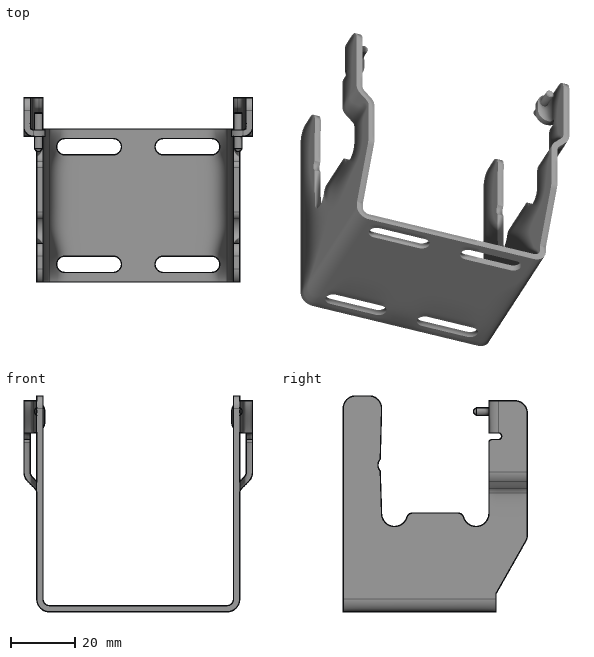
import cadquery as cq
import math

thickness = 2.0
bend_inner = 2.0
bend_outer = bend_inner + thickness

total_width = 71.0
total_depth = 57.2
finger_top = 67.1
arm_top = 65.6
base_depth = 47.5

arm_offset = 4.0
wall_outer = total_width / 2 - arm_offset
wall_inner = wall_outer - thickness
arm_outer = total_width / 2
arm_inner = arm_outer - thickness
finger_width = 12.0
arm_front = total_depth - finger_width
corner_radius = 4.0

cradle_height = 30.75
well_radius = 4.0
well_center_height = 30.5
cradle_lip_radius = 2.0

finger_relief = 0.4
notch_height = 45.6
notch_half_length = 1.85
notch_depth = 0.7

slope_bottom = 5.7
slope_top = 22.85

joggle_start = 36.85
joggle_inner = 2.1
joggle_outer = joggle_inner + thickness
joggle_angle = math.radians(45)

tab_height = 10.1
tab_bottom = arm_top - tab_height
tab_bend_inner = 1.0
tab_bend_outer = tab_bend_inner + thickness
tab_end = 29.0
tab_bend_line = arm_front + tab_bend_outer
tab_bend_x = arm_outer - tab_bend_outer
tab_corner_radius = 3.5
relief_radius = 1.0

pin_diameter = 2.5
pin_x = 31.0
pin_height = 62.2
pin_front = 40.5
pin_rear = 52.55
pin_tip_length = 0.9
pin_tip_diameter = 0.9
pin_rear_chamfer = 0.3

slot_length = 20.0
slot_width = 5.0
slot_spacing_x = 30.5
slot_spacing_y = 36.5


def arc_end(center, radius, angle):
    """Point at the given angle on a circle."""
    return (center[0] + radius * math.cos(angle), center[1] + radius * math.sin(angle))


def channel():
    """Full-height U section over the cradle depth."""
    outer = cq.Workplane("XY").box(2 * wall_outer, arm_front, finger_top, centered=(True, False, False))
    outer = outer.edges("|Y and <Z").fillet(bend_outer)
    inner = cq.Workplane("XY").box(2 * wall_inner, arm_front, finger_top, centered=(True, False, False))
    inner = inner.edges("|Y and <Z").fillet(bend_inner)
    return outer.cut(inner.translate((0, 0, thickness)))


def rear_half_section():
    """Right half of the rear section: base, bend, wall and joggled arm."""
    lower_center = (wall_outer + joggle_inner, joggle_start)
    arcs_run = (joggle_inner + joggle_outer) * (1 - math.cos(joggle_angle))
    arcs_rise = (joggle_inner + joggle_outer) * math.sin(joggle_angle)
    slope_rise = (arm_offset - arcs_run) / math.tan(joggle_angle)
    upper_center = (arm_outer - joggle_outer, joggle_start + arcs_rise + slope_rise)

    def lower(radius, fraction):
        return arc_end(lower_center, radius, math.pi - fraction * joggle_angle)

    def upper(radius, fraction):
        return arc_end(upper_center, radius, -fraction * joggle_angle)

    flat_edge = wall_outer - bend_outer
    bend_center = (flat_edge, bend_outer)
    bend_middle = -math.pi / 4
    return (
        cq.Workplane("XZ")
        .moveTo(0, 0)
        .lineTo(flat_edge, 0)
        .threePointArc(arc_end(bend_center, bend_outer, bend_middle), (wall_outer, bend_outer))
        .lineTo(wall_outer, joggle_start)
        .threePointArc(lower(joggle_inner, 0.5), lower(joggle_inner, 1))
        .lineTo(*upper(joggle_outer, 1))
        .threePointArc(upper(joggle_outer, 0.5), upper(joggle_outer, 0))
        .lineTo(arm_outer, arm_top)
        .lineTo(arm_inner, arm_top)
        .lineTo(*upper(joggle_inner, 0))
        .threePointArc(upper(joggle_inner, 0.5), upper(joggle_inner, 1))
        .lineTo(*lower(joggle_outer, 1))
        .threePointArc(lower(joggle_outer, 0.5), lower(joggle_outer, 0))
        .lineTo(wall_inner, bend_outer)
        .threePointArc(arc_end(bend_center, bend_inner, bend_middle), (flat_edge, thickness))
        .lineTo(0, thickness)
        .close()
        .extrude(-finger_width)
        .translate((0, arm_front, 0))
    )


def round_corner(body, y, z, radius):
    """Round the edge of the side profile at the given Y and Z."""
    edge = cq.selectors.NearestToPointSelector((0, y, z))
    return body.edges("|X").edges(edge).fillet(radius)


def side_profile():
    """Side outline of both walls, as a block across the whole width."""
    well_bottom = well_center_height - well_radius
    lip_reach = math.sqrt(well_radius**2 - (cradle_height - well_center_height) ** 2)
    front_lip = finger_width + well_radius + lip_reach
    rear_lip = arm_front - well_radius - lip_reach
    relieved_edge = finger_width - finger_relief
    relief_bottom = tab_bottom - 2 * relief_radius
    profile = (
        cq.Workplane("YZ")
        .moveTo(0, 0)
        .lineTo(base_depth, 0)
        .lineTo(base_depth, slope_bottom)
        .lineTo(total_depth, slope_top)
        .lineTo(total_depth, arm_top)
        .lineTo(tab_bend_line, arm_top)
        .lineTo(tab_bend_line, tab_bottom)
        .threePointArc(
            (tab_bend_line + relief_radius, tab_bottom - relief_radius), (tab_bend_line, relief_bottom)
        )
        .lineTo(arm_front, relief_bottom)
        .lineTo(arm_front, well_center_height)
        .threePointArc((arm_front - well_radius, well_bottom), (rear_lip, cradle_height))
        .lineTo(front_lip, cradle_height)
        .threePointArc((finger_width + well_radius, well_bottom), (finger_width, well_center_height))
        .lineTo(relieved_edge, notch_height - notch_half_length)
        .threePointArc(
            (relieved_edge - notch_depth, notch_height), (relieved_edge, notch_height + notch_half_length)
        )
        .lineTo(finger_width, finger_top - corner_radius)
        .lineTo(finger_width, finger_top)
        .lineTo(0, finger_top)
        .close()
        .extrude(total_width / 2, both=True)
    )
    corners = [
        (0, finger_top, corner_radius),
        (finger_width, finger_top, corner_radius),
        (total_depth, arm_top, corner_radius),
        (total_depth, slope_top, corner_radius),
        (arm_front, relief_bottom, relief_radius),
        (front_lip, cradle_height, cradle_lip_radius),
        (rear_lip, cradle_height, cradle_lip_radius),
    ]
    for y, z, radius in corners:
        profile = round_corner(profile, y, z, radius)
    return profile


def tab():
    """Right-hand tab, bent inward from the front edge of the arm."""
    bend_center = (tab_bend_x, tab_bend_line)
    bend_middle = -math.pi / 4
    tab_rear = arm_front + thickness
    body = (
        cq.Workplane("XY", origin=(0, 0, tab_bottom))
        .moveTo(arm_outer, tab_bend_line)
        .threePointArc(arc_end(bend_center, tab_bend_outer, bend_middle), (tab_bend_x, arm_front))
        .lineTo(tab_end, arm_front)
        .lineTo(tab_end, tab_rear)
        .lineTo(tab_bend_x, tab_rear)
        .threePointArc(arc_end(bend_center, tab_bend_inner, bend_middle), (arm_inner, tab_bend_line))
        .close()
        .extrude(tab_height)
    )
    return body.edges("|Y and <X").fillet(tab_corner_radius)


def pin():
    """Right-hand pin along Y, pointing forward with a tapered tip."""
    radius = pin_diameter / 2
    tip_radius = pin_tip_diameter / 2
    half_section = [
        (0, pin_front),
        (tip_radius, pin_front),
        (radius, pin_front + pin_tip_length),
        (radius, pin_rear - pin_rear_chamfer),
        (radius - pin_rear_chamfer, pin_rear),
        (0, pin_rear),
    ]
    body = cq.Workplane("XY").polyline(half_section).close().revolve(360, (0, 0), (0, 1))
    return body.translate((pin_x, 0, pin_height))


def base_slots():
    """Cutters for the four mounting slots."""
    return (
        cq.Workplane("XY", origin=(0, base_depth / 2, 0))
        .rarray(slot_spacing_x, slot_spacing_y, 2, 2)
        .slot2D(slot_length, slot_width)
        .extrude(thickness)
    )


def with_mirror(body):
    """The body together with its mirror image on the other side."""
    return body.union(body.mirror("YZ"))


sheet = channel().union(with_mirror(rear_half_section()))
bracket = sheet.intersect(side_profile()).cut(base_slots())
right_fittings = tab().union(pin())
result = bracket.union(right_fittings).union(right_fittings.mirror("YZ"))